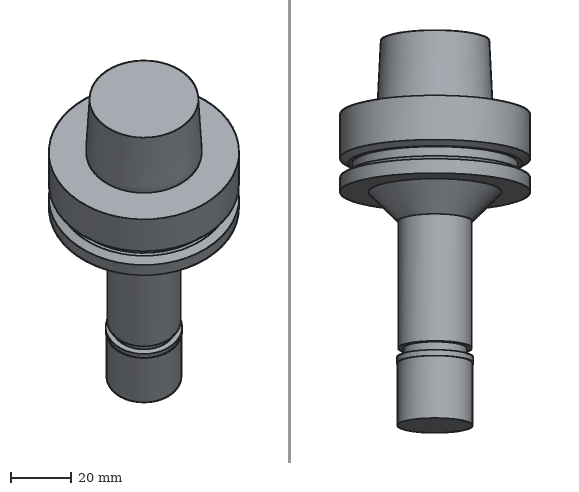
import cadquery as cq

total_height = 130.0
tip_height = 21.0
collar_height = 2.0
neck_height = 3.1
cone_height = 9.9
lower_rim_height = 4.8
groove_chamfer_height = 1.5
groove_floor_height = 3.4
upper_rim_height = 15.0
shank_base_height = 2.0
shank_height = 24.8

tip_diameter = 25.0
collar_diameter = 25.4
neck_diameter = 21.0
stem_diameter = 24.5
flange_diameter = 63.0
groove_diameter = 55.0
groove_edge_diameter = 57.6
shank_diameter = 38.4
shank_taper = 0.1

collar_bottom = tip_height
neck_bottom = collar_bottom + collar_height
stem_bottom = neck_bottom + neck_height
flange_top = total_height - shank_height
upper_rim_bottom = flange_top - upper_rim_height
groove_top = upper_rim_bottom - groove_chamfer_height
groove_bottom = groove_top - groove_floor_height
lower_rim_top = groove_bottom - groove_chamfer_height
flange_bottom = lower_rim_top - lower_rim_height
cone_bottom = flange_bottom - cone_height
taper_bottom = flange_top + shank_base_height

cone_top_diameter = stem_diameter + 2 * cone_height
shank_top_diameter = shank_diameter - shank_taper * (total_height - taper_bottom)


def tapered_section(bottom, top, bottom_diameter, top_diameter):
    """Solid of revolution about Z with a straight side."""
    profile = [
        (0, bottom),
        (bottom_diameter / 2, bottom),
        (top_diameter / 2, top),
        (0, top),
    ]
    return cq.Workplane("XZ").polyline(profile).close().revolve(360, (0, 0), (0, 1))


sections = [
    (0, collar_bottom, tip_diameter, tip_diameter),
    (collar_bottom, neck_bottom, collar_diameter, collar_diameter),
    (neck_bottom, stem_bottom, neck_diameter, neck_diameter),
    (stem_bottom, cone_bottom, stem_diameter, stem_diameter),
    (cone_bottom, flange_bottom, stem_diameter, cone_top_diameter),
    (flange_bottom, lower_rim_top, flange_diameter, flange_diameter),
    (lower_rim_top, groove_bottom, flange_diameter, groove_edge_diameter),
    (groove_bottom, groove_top, groove_diameter, groove_diameter),
    (groove_top, upper_rim_bottom, groove_edge_diameter, flange_diameter),
    (upper_rim_bottom, flange_top, flange_diameter, flange_diameter),
    (flange_top, taper_bottom, shank_diameter, shank_diameter),
    (taper_bottom, total_height, shank_diameter, shank_top_diameter),
]

result = cq.Workplane("XY")
for section in sections:
    result = result.union(tapered_section(*section))

result = result.translate((0, 0, -total_height / 2))